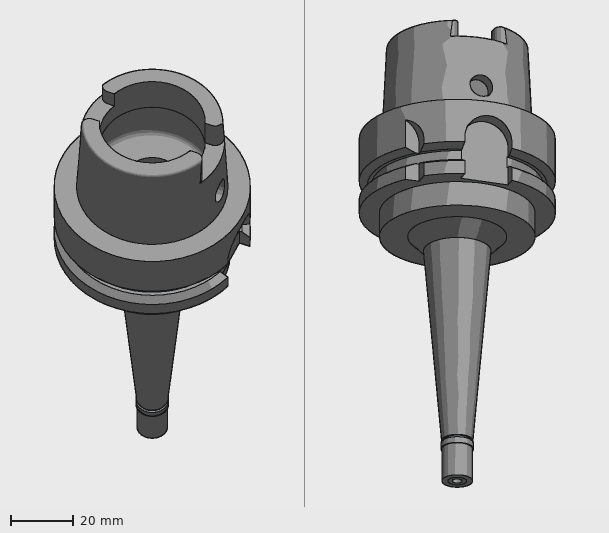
import cadquery as cq
import math


shank_height = 32.0
shank_foot_radius = 24.3
shank_taper_per_mm = 0.05
shank_top_radius = shank_foot_radius - shank_height * shank_taper_per_mm
shank_rim_rounding = 1.0
cross_hole_radius = 3.8
cross_hole_z = 8.8

keyway_width = 12.4
keyway_shoulder_x = 20.9
keyway_corner_radius = 2.8
shallow_keyway_depth = 6.0
deep_keyway_depth = 9.8

flange_radius = 31.5
flange_height = 26.0
groove_radius = 27.6
groove_middle_z = -18.125
groove_width = 3.7
groove_flank_inner_radius = 28.9
groove_flank_rise = (flange_radius - groove_flank_inner_radius) * math.tan(math.radians(30))
groove_top_z = groove_middle_z + groove_width / 2
groove_bottom_z = groove_middle_z - groove_width / 2

rim_slot_floor = 26.5
narrow_slot_width = 16.0
wide_slot_width = 18.0
slot_arch_z = -13.0
notch_corner = 19.85
notch_width = 18.0

collar_radius = 25.0
collar_bottom_z = -34.25
nose_cone_angle = 45.0
nose_top_z = -39.3
nose_top_radius = 10.85
nose_tip_radius = 5.05
nose_tip_z = -105.85
nose_cone_top_radius = nose_top_radius + (collar_bottom_z - nose_top_z) * math.tan(
    math.radians(nose_cone_angle)
)

overall_bottom_z = -120.0
neck_radius = 4.5
nut_top_z = -106.75
nut_collar_height = 2.0
nut_collar_radius = 5.25
nut_radius = 4.95
nut_lip_thickness = 3.0
spigot_bottom_z = overall_bottom_z + nut_lip_thickness
collet_length = 28.0
collet_radius = 3.0
collet_bore_radius = 1.6
collet_top_z = overall_bottom_z + collet_length

mouth_radius = 17.0
mouth_depth = 12.8
chamber_radius = 19.6
chamber_bottom_z = 3.6
chamber_corner_radius = chamber_radius - mouth_radius
thread_bore_radius = 9.0
thread_bore_bottom_z = -20.0
coolant_bore_radius = 4.0


def revolved(profile):
    """Solid of revolution about Z from (radius, z) points."""
    return cq.Workplane("XZ").polyline(profile).close().revolve(360, (0, 0, 0), (0, 1, 0))


def holder_blank():
    blank = revolved([
        (0, shank_height),
        (shank_top_radius, shank_height),
        (shank_foot_radius, 0),
        (flange_radius, 0),
        (flange_radius, groove_top_z + groove_flank_rise),
        (groove_flank_inner_radius, groove_top_z),
        (groove_radius, groove_top_z),
        (groove_radius, groove_bottom_z),
        (groove_flank_inner_radius, groove_bottom_z),
        (flange_radius, groove_bottom_z - groove_flank_rise),
        (flange_radius, -flange_height),
        (collar_radius, -flange_height),
        (collar_radius, collar_bottom_z),
        (nose_cone_top_radius, collar_bottom_z),
        (nose_top_radius, nose_top_z),
        (nose_tip_radius, nose_tip_z),
        (neck_radius, nose_tip_z),
        (neck_radius, spigot_bottom_z),
        (0, spigot_bottom_z),
    ])
    return blank.faces(">Z").edges().fillet(shank_rim_rounding)


def holder_cavity():
    """Mouth, wider chamber with a rounded floor corner, then ever smaller bores down the nose."""
    mouth_bottom_z = shank_height - mouth_depth
    corner_top_z = chamber_bottom_z + chamber_corner_radius
    corner_middle_radius = mouth_radius + chamber_corner_radius * math.sqrt(0.5)
    corner_middle_z = corner_top_z - chamber_corner_radius * math.sqrt(0.5)
    profile = (
        cq.Workplane("XZ")
        .moveTo(0, shank_height)
        .lineTo(mouth_radius, shank_height)
        .lineTo(mouth_radius, mouth_bottom_z)
        .lineTo(chamber_radius, mouth_bottom_z)
        .lineTo(chamber_radius, corner_top_z)
        .threePointArc((corner_middle_radius, corner_middle_z), (mouth_radius, chamber_bottom_z))
        .lineTo(thread_bore_radius, chamber_bottom_z)
        .lineTo(thread_bore_radius, thread_bore_bottom_z)
        .lineTo(coolant_bore_radius, thread_bore_bottom_z)
        .lineTo(coolant_bore_radius, collet_top_z)
        .lineTo(collet_radius, collet_top_z)
        .lineTo(collet_radius, spigot_bottom_z)
        .lineTo(0, spigot_bottom_z)
        .close()
    )
    return profile.revolve(360, (0, 0, 0), (0, 1, 0))


def keyway(side, depth):
    """Keyway cutter through the shank rim on the +X (side = 1) or -X (side = -1) side."""
    half_width = keyway_width / 2
    corner_start_x = keyway_shoulder_x - keyway_corner_radius
    corner_end_y = half_width + keyway_corner_radius
    corner_middle = keyway_corner_radius * math.sqrt(0.5)
    corner_middle_x = corner_start_x + corner_middle
    corner_middle_y = corner_end_y - corner_middle
    return (
        cq.Workplane("XY", origin=(0, 0, shank_height - depth))
        .moveTo(0, -half_width)
        .lineTo(side * corner_start_x, -half_width)
        .threePointArc(
            (side * corner_middle_x, -corner_middle_y),
            (side * keyway_shoulder_x, -corner_end_y),
        )
        .lineTo(side * keyway_shoulder_x, -shank_foot_radius)
        .lineTo(side * flange_radius, -shank_foot_radius)
        .lineTo(side * flange_radius, shank_foot_radius)
        .lineTo(side * keyway_shoulder_x, shank_foot_radius)
        .lineTo(side * keyway_shoulder_x, corner_end_y)
        .threePointArc(
            (side * corner_middle_x, corner_middle_y),
            (side * corner_start_x, half_width),
        )
        .lineTo(0, half_width)
        .close()
        .extrude(depth)
    )


def rim_slot(side, floor, width, middle_y):
    """Round-ended slot cutter, milled along X into the flange rim down to the floor distance."""
    radius = width / 2
    return (
        cq.Workplane("YZ", origin=(side * floor, 0, 0))
        .moveTo(middle_y - radius, -flange_height)
        .lineTo(middle_y - radius, slot_arch_z)
        .threePointArc(
            (middle_y, slot_arch_z + radius),
            (middle_y + radius, slot_arch_z),
        )
        .lineTo(middle_y + radius, -flange_height)
        .close()
        .extrude(side * flange_radius)
    )


def make_holder():
    cross_hole = (
        cq.Workplane("YZ", origin=(0, 0, cross_hole_z))
        .circle(cross_hole_radius)
        .extrude(flange_radius, both=True)
    )
    return (
        holder_blank()
        .cut(holder_cavity())
        .cut(cross_hole)
        .cut(keyway(-1, shallow_keyway_depth))
        .cut(keyway(1, deep_keyway_depth))
        .cut(rim_slot(-1, rim_slot_floor, narrow_slot_width, 0))
        .cut(rim_slot(1, rim_slot_floor, wide_slot_width, 0))
        .cut(rim_slot(-1, notch_corner, notch_width, notch_corner + notch_width / 2))
    )


def make_nut():
    """Cap around the holder spigot, with a bottom lip that closes onto the collet."""
    nut_collar_bottom_z = nut_top_z - nut_collar_height
    return revolved([
        (neck_radius, nut_top_z),
        (nut_collar_radius, nut_top_z),
        (nut_collar_radius, nut_collar_bottom_z),
        (nut_radius, nut_collar_bottom_z),
        (nut_radius, overall_bottom_z),
        (collet_radius, overall_bottom_z),
        (collet_radius, spigot_bottom_z),
        (neck_radius, spigot_bottom_z),
    ])


def make_collet():
    return (
        cq.Workplane("XY", origin=(0, 0, overall_bottom_z))
        .circle(collet_radius)
        .circle(collet_bore_radius)
        .extrude(collet_length)
    )


holder = make_holder()
nut = make_nut()
collet = make_collet()

result = cq.Compound.makeCompound([holder.val(), nut.val(), collet.val()])